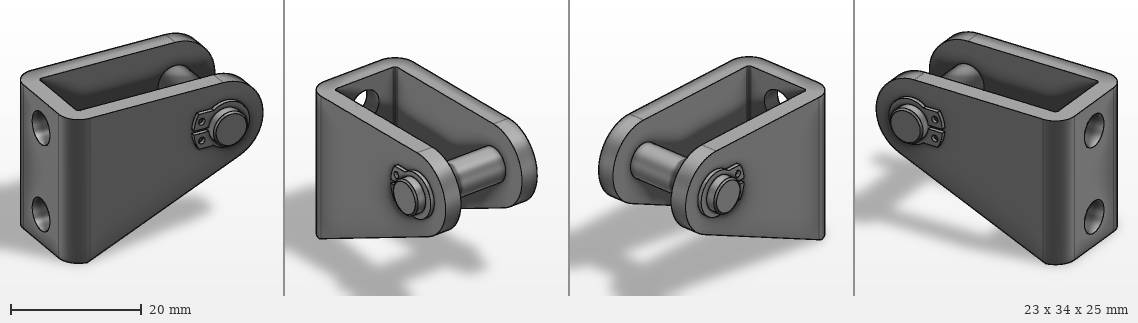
import cadquery as cq
import math

length = 34.0
width = 18.0
height = 25.0
thickness = 3.0
bend_radius = 3.5
inner_bend_radius = bend_radius - thickness
arm_end_radius = 7.0

hole_diameter = 5.5
hole_top_offset = 5.0
hole_spacing = 15.0

pin_diameter = 6.0
pin_length = 23.0
pin_chamfer = 0.3
pin_y = length - arm_end_radius
pin_z = height - arm_end_radius

clip_thickness = 0.7
clip_ring_radius = 3.88
clip_ring_offset = 0.35
lug_half_height = 3.03
lug_reach = 5.58
lug_gap = 0.68
lug_hole_diameter = 1.12
lug_hole_reach = 4.18
lug_hole_height = 1.63


def make_strap():
    """U-shaped strap with rounded bends, at full height."""
    outer = (
        cq.Workplane("XY")
        .rect(width, length)
        .extrude(height)
        .translate((0, length / 2, 0))
        .edges("|Z and <Y")
        .fillet(bend_radius)
    )
    opening = (
        cq.Workplane("XY")
        .rect(width - 2 * thickness, length)
        .extrude(height)
        .translate((0, length / 2 + thickness, 0))
        .edges("|Z and <Y")
        .fillet(inner_bend_radius)
    )
    return outer.cut(opening)


def make_side_profile():
    """Side shape whose sloping lower edge is tangent to the round arm end."""
    run = pin_y - thickness
    distance = math.hypot(run, pin_z)
    slope = math.atan2(pin_z, run) - math.asin(arm_end_radius / distance)
    tangent_y = pin_y + arm_end_radius * math.sin(slope)
    tangent_z = pin_z - arm_end_radius * math.cos(slope)
    return (
        cq.Workplane("YZ")
        .moveTo(0, 0)
        .lineTo(thickness, 0)
        .lineTo(tangent_y, tangent_z)
        .threePointArc((length, pin_z), (pin_y, height))
        .lineTo(0, height)
        .close()
        .extrude(width / 2, both=True)
    )


def make_mounting_holes():
    upper_z = height - hole_top_offset
    return (
        cq.Workplane("XZ")
        .pushPoints([(0, upper_z), (0, upper_z - hole_spacing)])
        .circle(hole_diameter / 2)
        .extrude(-thickness)
    )


def make_pin():
    return (
        cq.Workplane("YZ", origin=(-pin_length / 2, pin_y, pin_z))
        .circle(pin_diameter / 2)
        .extrude(pin_length)
        .faces("<X or >X")
        .chamfer(pin_chamfer)
    )


def make_clip(start_x):
    """Eccentric ring with two drilled lugs facing the base of the U."""
    plane = cq.Workplane("YZ", origin=(start_x, pin_y, pin_z))
    ring = plane.center(clip_ring_offset, 0).circle(clip_ring_radius).extrude(clip_thickness)
    lug_blank = plane.center(-lug_reach / 2, 0).rect(lug_reach, 2 * lug_half_height)
    lugs = lug_blank.extrude(clip_thickness).intersect(plane.circle(lug_reach).extrude(clip_thickness))
    gap = plane.center(-lug_reach / 2, 0).rect(lug_reach, lug_gap).extrude(clip_thickness)
    holes = (
        plane.pushPoints([(-lug_hole_reach, side * lug_hole_height) for side in (-1, 1)])
        .circle(lug_hole_diameter / 2)
        .extrude(clip_thickness)
    )
    return ring.union(lugs).cut(gap).cut(holes)


bracket = make_strap().intersect(make_side_profile()).cut(make_mounting_holes())
result = bracket
for clip_start in (-width / 2 - clip_thickness, width / 2):
    result = result.union(make_clip(clip_start))
result = result.union(make_pin())